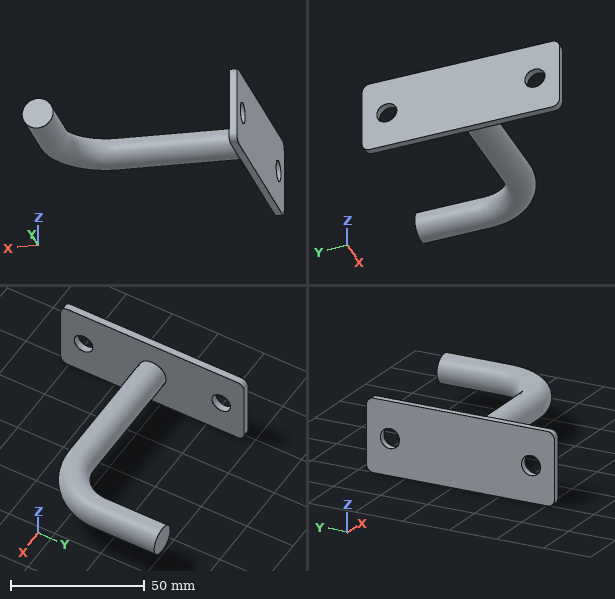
import cadquery as cq

plate_thickness = 3.0
plate_length = 80.0
plate_height = 30.0
plate_corner_radius = 3.0

hole_diameter = 8.0
hole_spacing = 60.0

rod_diameter = 12.0
bend_radius = 20.0
rod_reach = 75.0
arm_end_y = 47.0

bend_start_x = rod_reach - bend_radius
arm_length = arm_end_y - bend_radius


def make_plate():
    """Flat plate with rounded corners and two through holes."""
    return (
        cq.Workplane("YZ")
        .rect(plate_length, plate_height)
        .extrude(plate_thickness)
        .edges("|X")
        .fillet(plate_corner_radius)
        .faces("<X")
        .workplane(origin=(0, 0, 0))
        .rarray(hole_spacing, 1, 2, 1)
        .hole(hole_diameter)
    )


def make_rod():
    """Round rod swept along a straight stem, a quarter-turn bend and a straight arm."""
    centreline = (
        cq.Workplane("XY")
        .moveTo(plate_thickness, 0)
        .lineTo(bend_start_x, 0)
        .tangentArcPoint((bend_radius, bend_radius))
        .line(0, arm_length)
    )
    return (
        cq.Workplane("YZ", origin=(plate_thickness, 0, 0))
        .circle(rod_diameter / 2)
        .sweep(centreline)
    )


result = make_plate().union(make_rod())